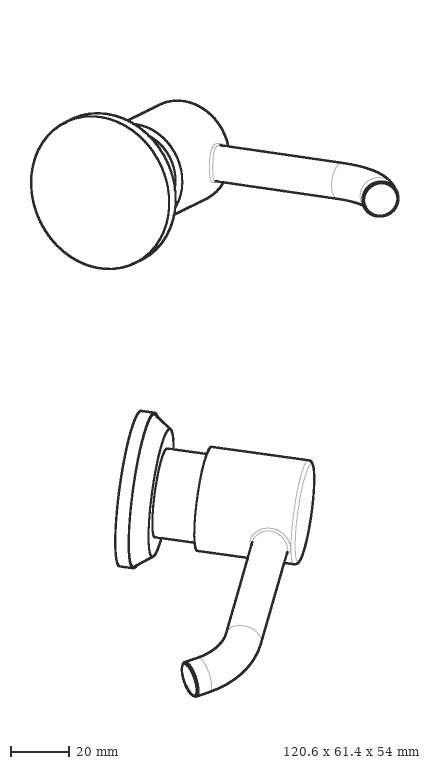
import cadquery as cq
import math

overall_length = 120.6
overall_height = 61.4

base_radius = 27.0
rim_height = 4.7
rim_ledge = 0.5
base_height = 10.7
base_top_radius = 22.2

neck_radius = 15.4
head_bottom = 25.9
head_radius = 18.1
head_edge_round = 1.2
dome_rise = 0.4

spout_radius = 6.3
spout_height = 52.6
bend_start = 65.4
bend_radius = 25.5
bend_angle = 52.5
tip_edge_chamfer = 0.5
joint_fillet = 0.8


def make_body():
    """Base, neck and slightly domed head, revolved about Y."""
    shoulder_height = overall_height - dome_rise
    round_start = shoulder_height - head_edge_round
    dome_radius = head_radius - head_edge_round
    round_diagonal = head_edge_round * math.sqrt(0.5)
    sphere_radius = (dome_radius**2 + dome_rise**2) / (2 * dome_rise)
    dome_mid_radius = dome_radius / 2
    dome_mid_drop = sphere_radius - math.sqrt(sphere_radius**2 - dome_mid_radius**2)
    return (
        cq.Workplane("ZY")
        .lineTo(base_radius, 0)
        .lineTo(base_radius, rim_height)
        .lineTo(base_radius - rim_ledge, rim_height)
        .lineTo(base_top_radius, base_height)
        .lineTo(neck_radius, base_height)
        .lineTo(neck_radius, head_bottom)
        .lineTo(head_radius, head_bottom)
        .lineTo(head_radius, round_start)
        .threePointArc(
            (dome_radius + round_diagonal, round_start + round_diagonal),
            (dome_radius, shoulder_height),
        )
        .threePointArc((dome_mid_radius, overall_height - dome_mid_drop), (0, overall_height))
        .close()
        .revolve(360, (0, 0, 0), (0, 1, 0))
    )


def make_spout():
    """Straight tube from the body axis, a downward bend and a short straight tip."""
    angle = math.radians(bend_angle)
    outer_bend_reach = bend_start + (bend_radius + spout_radius) * math.sin(angle)
    spout_reach = overall_length - base_radius
    tip_length = (spout_reach - outer_bend_reach) / math.cos(angle) + tip_edge_chamfer

    def on_bend(turn):
        return (
            bend_start + bend_radius * math.sin(turn),
            spout_height - bend_radius * (1 - math.cos(turn)),
        )

    bend_end = on_bend(angle)
    tip_end = (
        bend_end[0] + tip_length * math.cos(angle),
        bend_end[1] - tip_length * math.sin(angle),
    )
    path = (
        cq.Workplane("XY")
        .moveTo(0, spout_height)
        .lineTo(bend_start, spout_height)
        .threePointArc(on_bend(angle / 2), bend_end)
        .lineTo(*tip_end)
    )
    tube = cq.Workplane("YZ").center(spout_height, 0).circle(spout_radius).sweep(path)
    return tube.faces(">X").edges().chamfer(tip_edge_chamfer)


def fillet_joint(part):
    """Round the corner where the spout leaves the head."""
    joint_inner_x = math.sqrt(head_radius**2 - spout_radius**2)
    joint_box = cq.selectors.BoxSelector(
        (joint_inner_x, spout_height - spout_radius, -spout_radius),
        (head_radius, spout_height + spout_radius, spout_radius),
    )
    return part.edges(joint_box).fillet(joint_fillet)


result = fillet_joint(make_body().union(make_spout()))